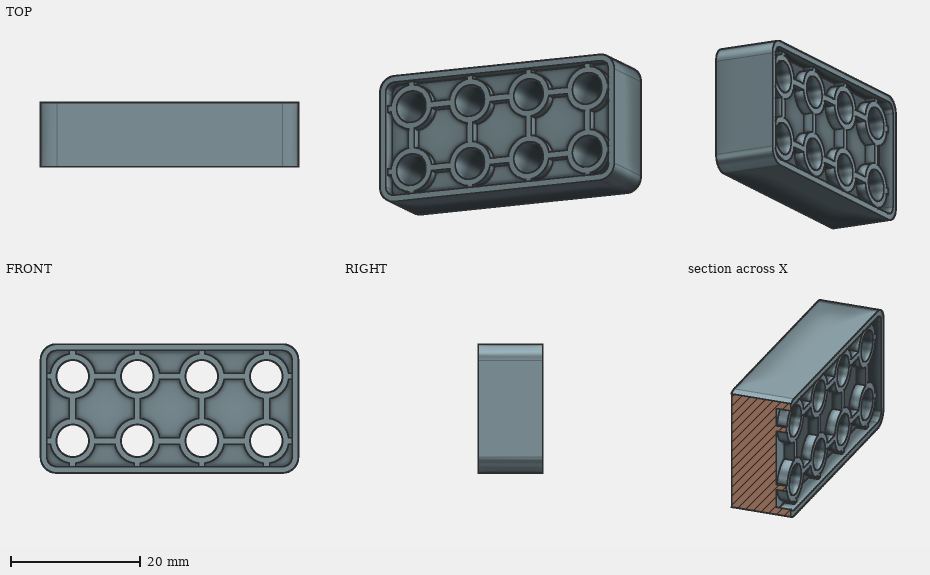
import cadquery as cq

length = 40.0
depth = 10.0
height = 20.0
corner_radius = depth / 4
wall = 1.0

columns = 4
rows = 2
pitch = length / columns
hole_diameter = 5.0
ring_diameter = 7.0
rib_thickness = 1.0

lattice_recess = 0.8
floor_depth = 2.45


def rounded_prism(size_x, size_z, radius, start_y, end_y):
    """Rectangle with rounded corners in XZ, running from start_y to end_y."""
    block = cq.Workplane("XY").box(size_x, end_y - start_y, size_z)
    block = block.edges("|Y").fillet(radius)
    return block.translate((0, (start_y + end_y) / 2, 0))


def grid_cylinders(diameter, start_y, end_y):
    """One cylinder along Y at every grid point."""
    plane = cq.Workplane("XZ", origin=(0, start_y, 0))
    points = plane.rarray(pitch, pitch, columns, rows)
    return points.circle(diameter / 2).extrude(start_y - end_y)


def grid_ribs(start_y, end_y):
    """Ribs along each row and column of the grid, reaching into the outer walls."""
    overlap = wall / 2
    rib_depth = end_y - start_y
    row_centers = cq.Workplane("XZ", origin=(0, start_y, 0)).rarray(pitch, pitch, 1, rows)
    row_ribs = row_centers.rect(length - 2 * overlap, rib_thickness).extrude(-rib_depth)
    column_centers = cq.Workplane("XZ", origin=(0, start_y, 0)).rarray(pitch, pitch, columns, 1)
    column_ribs = column_centers.rect(rib_thickness, height - 2 * overlap).extrude(-rib_depth)
    return row_ribs.union(column_ribs)


body = rounded_prism(length, height, corner_radius, 0, depth)
pocket = rounded_prism(length - 2 * wall, height - 2 * wall, corner_radius - wall, 0, floor_depth)
body = body.cut(pocket)

body = body.union(grid_cylinders(ring_diameter, lattice_recess, floor_depth))
body = body.union(grid_ribs(lattice_recess, floor_depth))

result = body.cut(grid_cylinders(hole_diameter, 0, depth))